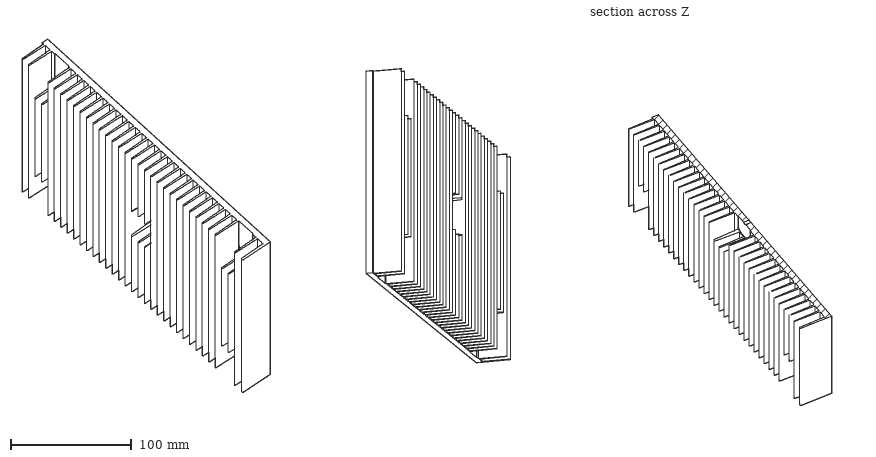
import cadquery as cq

length = 284.0
depth = 30.0
height = 174.0

plate_thickness = 6.0

fin_count = 34
first_fin_x = -139.2
last_fin_x = 131.5
fin_pitch = (last_fin_x - first_fin_x) / (fin_count - 1)
fin_root_width = 2.15
fin_tip_width = 1.2

edge_fin_root_width = 2.5
edge_fin_tip_width = 2.13
edge_fin_tip_corner_radius = 0.5

pad_recess = 0.5
pad_corner_radius = 4.8
hole_diameter = 4.8

corner_pad_width = 18.0
corner_pad_x = 117.3
corner_pad_inner_z = 50.8
corner_hole_z = 61.0

center_pad_width = 19.5
center_pad_height = 34.5
center_pad_x = fin_pitch
center_pad_z = 2.0

root_y = -plate_thickness
tip_y = -depth
pad_floor_y = root_y + pad_recess
fin_embed = plate_thickness / 2
pad_overrun = 2 * pad_corner_radius


def regular_fin(x):
    """Full-height symmetric fin centred on x, with a fully rounded tip."""
    half_root = fin_root_width / 2
    tip_radius = fin_tip_width / 2
    shoulder_y = tip_y + tip_radius
    profile = (
        cq.Workplane("XY")
        .moveTo(x - half_root, root_y + fin_embed)
        .lineTo(x - half_root, root_y)
        .lineTo(x - tip_radius, shoulder_y)
        .threePointArc((x, tip_y), (x + tip_radius, shoulder_y))
        .lineTo(x + half_root, root_y)
        .lineTo(x + half_root, root_y + fin_embed)
        .close()
    )
    return profile.extrude(height / 2, both=True)


def edge_fin():
    """Full-height fin closing the +X side, tapered on its inner side only."""
    outer_x = length / 2
    root_inner_x = outer_x - edge_fin_root_width
    outline = [
        (root_inner_x, root_y + fin_embed),
        (root_inner_x, root_y),
        (outer_x - edge_fin_tip_width, tip_y),
        (outer_x, tip_y),
        (outer_x, root_y + fin_embed),
    ]
    fin = cq.Workplane("XY").polyline(outline).close().extrude(height / 2, both=True)
    return fin.faces("<Y").edges("|Z").fillet(edge_fin_tip_corner_radius)


def pad_cutter(x, z, width, pad_height):
    """Round-cornered block that clears the fins down to the pad floor."""
    cut_depth = pad_floor_y - tip_y
    return (
        cq.Workplane("XY")
        .box(width, cut_depth, pad_height)
        .edges("|Y")
        .fillet(pad_corner_radius)
        .translate((x, (pad_floor_y + tip_y) / 2, z))
    )


def hole_cutter(x, z):
    """Cylinder through the plate along Y."""
    return cq.Workplane("XZ").center(x, z).circle(hole_diameter / 2).extrude(depth)


result = cq.Workplane("XY").box(length, plate_thickness, height).translate((0, root_y / 2, 0))
for index in range(fin_count):
    result = result.union(regular_fin(first_fin_x + index * fin_pitch))
result = result.union(edge_fin())

corner_pad_height = height / 2 - corner_pad_inner_z + pad_overrun
corner_pad_z = corner_pad_inner_z + corner_pad_height / 2
for side_x in (-1, 1):
    for side_z in (-1, 1):
        pad_x = side_x * corner_pad_x
        result = result.cut(pad_cutter(pad_x, side_z * corner_pad_z, corner_pad_width, corner_pad_height))
        result = result.cut(hole_cutter(pad_x, side_z * corner_hole_z))

result = result.cut(pad_cutter(center_pad_x, center_pad_z, center_pad_width, center_pad_height))
result = result.cut(hole_cutter(center_pad_x, center_pad_z))